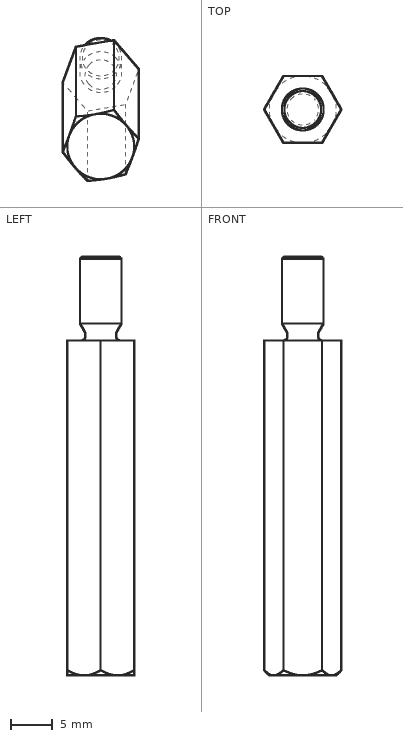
import cadquery as cq
import math

across_flats = 8.0
across_corners = across_flats / math.cos(math.radians(30))
body_length = 40.0
base_diameter = across_flats
base_chamfer_angle = math.radians(45)

stud_diameter = 5.0
stud_length = 10.0
stud_tip_chamfer = 0.3
neck_diameter = 3.73
undercut_length = 2.0
undercut_angle = math.radians(30)
undercut_fillet = 0.4


def make_body():
    """Hexagonal prism with two corners on the X axis and a conical bottom chamfer."""
    prism = cq.Workplane("XY").polygon(6, across_corners).extrude(body_length)
    corner_radius = across_corners / 2
    base_radius = base_diameter / 2
    chamfer_height = (corner_radius - base_radius) / math.tan(base_chamfer_angle)
    turned_blank = (
        cq.Workplane("XZ")
        .lineTo(base_radius, 0)
        .lineTo(corner_radius, chamfer_height)
        .lineTo(corner_radius, body_length)
        .lineTo(0, body_length)
        .close()
        .revolve(360, (0, 0, 0), (0, 1, 0))
    )
    return prism.intersect(turned_blank)


def make_stud():
    """Turned stud: foot fillet, neck, filleted run-out cone, shank and chamfered tip."""
    stud_radius = stud_diameter / 2
    neck_radius = neck_diameter / 2
    stud_top = body_length + stud_length
    undercut_top = body_length + undercut_length

    foot_radius = neck_radius + undercut_fillet
    fillet_center_z = body_length + undercut_fillet
    foot_middle = (
        foot_radius - undercut_fillet * math.cos(math.radians(45)),
        fillet_center_z - undercut_fillet * math.sin(math.radians(45)),
    )

    cone_height = (stud_radius - neck_radius) / math.tan(undercut_angle)
    cone_start_z = undercut_top - cone_height
    tangent_length = undercut_fillet * math.tan(undercut_angle / 2)
    neck_top_z = cone_start_z - tangent_length

    def upper_fillet_point(angle):
        return (
            foot_radius - undercut_fillet * math.cos(angle),
            neck_top_z + undercut_fillet * math.sin(angle),
        )

    return (
        cq.Workplane("XZ")
        .moveTo(0, body_length)
        .lineTo(foot_radius, body_length)
        .threePointArc(foot_middle, (neck_radius, fillet_center_z))
        .lineTo(neck_radius, neck_top_z)
        .threePointArc(upper_fillet_point(undercut_angle / 2), upper_fillet_point(undercut_angle))
        .lineTo(stud_radius, undercut_top)
        .lineTo(stud_radius, stud_top - stud_tip_chamfer)
        .lineTo(stud_radius - stud_tip_chamfer, stud_top)
        .lineTo(0, stud_top)
        .close()
        .revolve(360, (0, 0, 0), (0, 1, 0))
    )


result = make_body().union(make_stud())